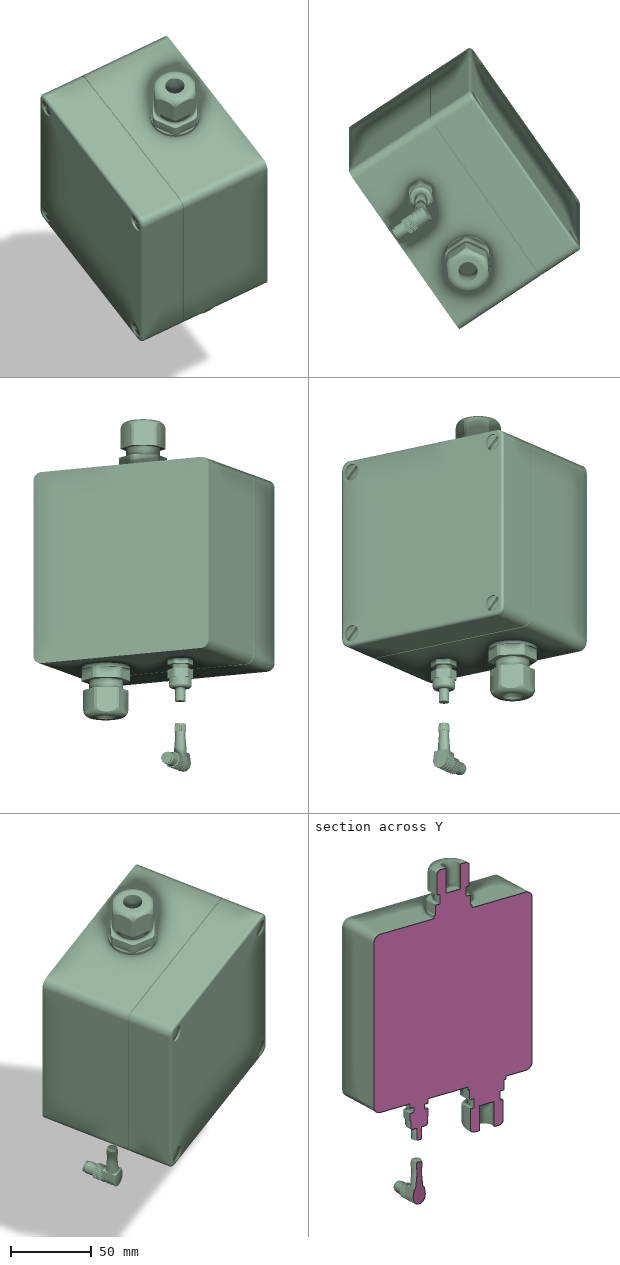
import cadquery as cq
import math

total_height = 221.8

box_width = 122.0
box_depth = 91.0
box_height = 120.5
corner_radius = 5.3
lid_edge_radius = 1.8
seam_from_back = 61.0
seam_width = 0.8
seam_depth = 0.5

screw_x = 53.2
screw_z = 52.3
screw_dia = 10.5
screw_recess_depth = 1.3
screw_slot_width = 2.2
screw_slot_depth = 1.3

fitting_y = 15.5
lower_fitting_x = 26.0

flange_dia = 30.0
flange_height = 2.0
gland_hex_flats = 27.0
gland_hex_height = 6.9
neck_dia = 21.0
neck_height = 6.0
cap_flats = 25.0
cap_round = 28.0
cap_height = 16.9
cap_face_dia = 18.5
cap_bore_dia = 12.0
gland_height = flange_height + gland_hex_height + neck_height + cap_height

connector_flats = 14.2
connector_round = 15.7
connector_base_height = 3.0
connector_neck_dia = 10.0
connector_neck_height = 3.0
connector_hex_height = 5.5
connector_barrel_height = 6.0
connector_barrel_dia = 14.0
connector_barrel_fillet = 1.8
connector_pin_dia = 6.5
connector_pin_height = 8.2

head_dia = 10.0
head_length = 9.3
head_rise = 6.2
head_taper_angle = 9.0
grip_groove_width = 1.3
grip_groove_pitch = 2.7
grip_groove_depth = 0.5
grip_groove_count = 3
stem_dia = 6.5
stem_root_dia = 8.0
stem_taper_height = 10.0
stem_straight_height = 3.5
stem_collar_dia = 7.0
stem_collar_height = 3.3
stem_collar_flutes = 18
stem_tip_height = 1.3
stem_bore_dia = 5.5
stem_bore_depth = 0.5
flute_dia = 0.8
collar_dia = 10.0
collar_gap_dia = 9.0
inner_collar_length = 3.0
collar_gap_length = 0.7
outer_collar_length = 2.7
collar_flutes = 26
sleeve_dia = 8.0
sleeve_length = 6.2
nose_neck_dia = 6.0
nose_neck_length = 0.9
nose_dia = 7.0
nose_length = 0.9


def cylinder(diameter, bottom, height):
    """Cylinder on the Z axis."""
    return cq.Workplane("XY").workplane(offset=bottom).circle(diameter / 2).extrude(height)


def rounded_hexagon(flats, round_dia, bottom, height):
    """Hexagonal prism with flats facing +-X, its corners turned down to a cylinder."""
    corner_dia = flats / math.cos(math.radians(30))
    prism = (
        cq.Workplane("XY")
        .workplane(offset=bottom)
        .transformed(rotate=(0, 0, 90))
        .polygon(6, corner_dia)
        .extrude(height)
    )
    return prism.intersect(cylinder(round_dia, bottom, height))


def fluted_collar(diameter, flutes, bottom, height):
    """Knurled ring on the Z axis with half-round flutes along its length."""
    cutters = (
        cq.Workplane("XY")
        .workplane(offset=bottom)
        .polarArray(diameter / 2, 0, 360, flutes)
        .circle(flute_dia / 2)
        .extrude(height)
    )
    return cylinder(diameter, bottom, height).cut(cutters)


def make_enclosure():
    box = (
        cq.Workplane("XY")
        .box(box_width, box_depth, box_height)
        .edges("|Y")
        .fillet(corner_radius)
        .faces("<Y")
        .edges()
        .fillet(lid_edge_radius)
    )
    seam_y = box_depth / 2 - seam_from_back
    slab = cq.Workplane("XY").box(2 * box_width, seam_width, 2 * box_height)
    core = (
        cq.Workplane("XY")
        .box(box_width - 2 * seam_depth, seam_width, box_height - 2 * seam_depth)
        .edges("|Y")
        .fillet(corner_radius - seam_depth)
    )
    return box.cut(slab.cut(core).translate((0, seam_y, 0)))


def make_screw_recess():
    """Sunken round screw head with a diagonal slot, cut from the plane y = 0 towards +Y."""
    slot_bottom = screw_recess_depth + screw_slot_depth
    recess = cq.Workplane("XZ").circle(screw_dia / 2).extrude(-screw_recess_depth)
    slot_limit = cq.Workplane("XZ").circle(screw_dia / 2).extrude(-slot_bottom)
    slot = (
        cq.Workplane("XZ")
        .transformed(rotate=(0, 0, 45))
        .rect(2 * screw_dia, screw_slot_width)
        .extrude(-slot_bottom)
        .intersect(slot_limit)
    )
    return recess.union(slot)


def make_gland():
    """Cable gland rising along +Z from z = 0."""
    hex_bottom = flange_height
    neck_bottom = hex_bottom + gland_hex_height
    cap_bottom = neck_bottom + neck_height
    cap_round_over = (cap_round - cap_face_dia) / 2

    flange = cylinder(flange_dia, 0, flange_height)
    body = rounded_hexagon(gland_hex_flats, flange_dia, hex_bottom, gland_hex_height)
    neck = cylinder(neck_dia, neck_bottom, neck_height)
    dome = cylinder(cap_round, cap_bottom, cap_height).faces(">Z").edges().fillet(cap_round_over)
    cap = rounded_hexagon(cap_flats, cap_round, cap_bottom, cap_height).intersect(dome)
    bore = cylinder(cap_bore_dia, cap_bottom, cap_height)
    return flange.union(body).union(neck).union(cap).cut(bore)


def make_connector():
    """Small fixed connector rising along +Z from z = 0."""
    neck_bottom = connector_base_height
    hex_bottom = neck_bottom + connector_neck_height
    barrel_bottom = hex_bottom + connector_hex_height
    pin_bottom = barrel_bottom + connector_barrel_height

    base = rounded_hexagon(connector_flats, connector_round, 0, connector_base_height)
    neck = cylinder(connector_neck_dia, neck_bottom, connector_neck_height)
    nut = rounded_hexagon(connector_flats, connector_round, hex_bottom, connector_hex_height)
    barrel = (
        cylinder(connector_barrel_dia, barrel_bottom, connector_barrel_height)
        .faces(">Z")
        .edges()
        .fillet(connector_barrel_fillet)
    )
    pin = cylinder(connector_pin_dia, pin_bottom, connector_pin_height)
    return base.union(neck).union(nut).union(barrel).union(pin)


def make_housing():
    top = box_height / 2
    upside_down = ((0, 0, 0), (0, 1, 0), 180)
    body = make_enclosure()
    for x in (-screw_x, screw_x):
        for z in (-screw_z, screw_z):
            body = body.cut(make_screw_recess().translate((x, -box_depth / 2, z)))
    upper_gland = make_gland().translate((0, fitting_y, top))
    lower_gland = make_gland().rotate(*upside_down).translate((lower_fitting_x, fitting_y, -top))
    connector = make_connector().rotate(*upside_down).translate((-lower_fitting_x, fitting_y, -top))
    return body.union(upper_gland).union(lower_gland).union(connector)


def make_plug_head():
    """Round head with sides tapering up to a flat top, gripped by grooves underneath."""
    radius = head_dia / 2
    angle = math.radians(head_taper_angle)
    tangent_x = radius * math.cos(angle)
    tangent_z = radius * math.sin(angle)
    top_x = tangent_x - (head_rise - tangent_z) * math.tan(angle)

    head = (
        cq.Workplane("XZ")
        .moveTo(top_x, head_rise)
        .lineTo(tangent_x, tangent_z)
        .threePointArc((0, -radius), (-tangent_x, tangent_z))
        .lineTo(-top_x, head_rise)
        .close()
        .extrude(head_length / 2, both=True)
    )
    groove = (
        cq.Workplane("XZ")
        .circle(head_dia)
        .circle(radius - grip_groove_depth)
        .extrude(grip_groove_width / 2, both=True)
    )
    below_tangent = cq.Workplane("XY").box(3 * head_dia, head_length, 2 * head_dia)
    below_tangent = below_tangent.translate((0, 0, tangent_z - head_dia))
    groove = groove.intersect(below_tangent)
    for i in range(grip_groove_count):
        y = (i - (grip_groove_count - 1) / 2) * grip_groove_pitch
        head = head.cut(groove.translate((0, y, 0)))
    return head


def make_plug_stem():
    """Cable stem rising along +Z from z = 0."""
    straight_bottom = stem_taper_height
    collar_bottom = straight_bottom + stem_straight_height
    tip_bottom = collar_bottom + stem_collar_height
    tip_top = tip_bottom + stem_tip_height

    taper = (
        cq.Workplane("XY")
        .circle(stem_root_dia / 2)
        .workplane(offset=stem_taper_height)
        .circle(stem_dia / 2)
        .loft(ruled=True)
    )
    straight = cylinder(stem_dia, straight_bottom, stem_straight_height)
    collar = fluted_collar(stem_collar_dia, stem_collar_flutes, collar_bottom, stem_collar_height)
    tip = cylinder(stem_dia, tip_bottom, stem_tip_height)
    bore = cylinder(stem_bore_dia, tip_top - stem_bore_depth, stem_bore_depth)
    return taper.union(straight).union(collar).union(tip).cut(bore)


def make_plug_coupling():
    """Coupling end rising along +Z from z = 0."""
    gap_bottom = inner_collar_length
    outer_bottom = gap_bottom + collar_gap_length
    sleeve_bottom = outer_bottom + outer_collar_length
    nose_neck_bottom = sleeve_bottom + sleeve_length
    nose_bottom = nose_neck_bottom + nose_neck_length

    inner_collar = fluted_collar(collar_dia, collar_flutes, 0, inner_collar_length)
    gap = cylinder(collar_gap_dia, gap_bottom, collar_gap_length)
    outer_collar = fluted_collar(collar_dia, collar_flutes, outer_bottom, outer_collar_length)
    sleeve = cylinder(sleeve_dia, sleeve_bottom, sleeve_length)
    nose_neck = cylinder(nose_neck_dia, nose_neck_bottom, nose_neck_length)
    nose = cylinder(nose_dia, nose_bottom, nose_length)
    return inner_collar.union(gap).union(outer_collar).union(sleeve).union(nose_neck).union(nose)


def make_plug():
    stem = make_plug_stem().translate((0, 0, head_rise))
    coupling = make_plug_coupling().rotate((0, 0, 0), (1, 0, 0), -90).translate((0, head_length / 2, 0))
    plug = make_plug_head().union(stem).union(coupling)
    plug_z = box_height / 2 + gland_height - total_height + max(head_dia, collar_dia) / 2
    return plug.translate((-lower_fitting_x, fitting_y, plug_z))


housing = make_housing()
plug = make_plug()
result = cq.Compound.makeCompound([housing.val(), plug.val()])